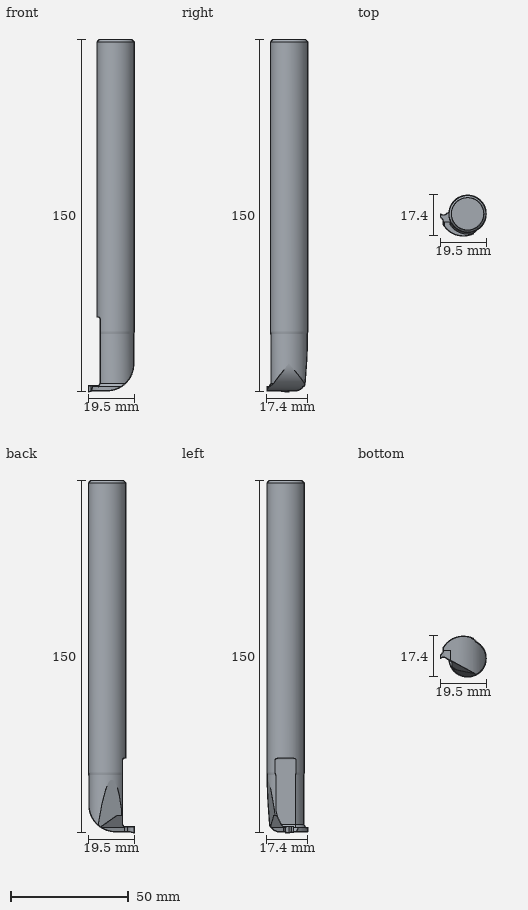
import cadquery as cq
import math

TOP_Z = 150.0

SHANK_RADIUS = 8.0
SHANK_CHAMFER = 1.0
HEAD_RADIUS = 7.8
SHOULDER_TOP_Z = 25.5
SHOULDER_HEIGHT = 0.9
FLAT_X = -6.6
FLAT_TOP_Z = 31.8
FLAT_CORNER_RADIUS = 0.8

FLANGE_CENTRE = (-1.8, 0.5)
FLANGE_RADIUS = 9.9
FLANGE_BOTTOM_Z = 0.5
FLANGE_TOP_Z = 2.2
FLANGE_SIDE_X = -10.4
FLANGE_SIDE_LEAN = 0.6
NECK_TOP_Z = 3.6
NECK_FLARE = 0.82

HEEL_RADIUS = 11.5

RELIEF_ANGLE = 16.0
RELIEF_TOP_Z = 22.5
RELIEF_LOW_DISTANCE = 5.1
RAMP_ANGLE = 60.0
RAMP_TOP_Z = 9.9
RAMP_LOW_DISTANCE = 6.9
RAMP_TOP_DISTANCE = 7.8
UNDERCUT_ANGLE = 28.4
UNDERCUT_TOP_Z = 7.5
UNDERCUT_TOP_DISTANCE = 6.5
UNDERCUT_DISTANCE = 4.2

TIP_X = -11.5
TIP_LAND = 1.4
FLANK_POINT = (-10.5, -2.5)
INSERT_BACK_X = -10.4
INSERT_BACK_Y = -3.5
INSERT_INNER_X = -7.4
INSERT_INNER_Y = 0.9
CHIP_GROOVE_MIDDLE = (-10.0, -0.5)
CHIP_GROOVE_END = (-8.7, 0.3)
INSERT_TOP_Z = 2.7
TIP_RELIEF_LENGTH = 1.8

CUT_SIZE = 45.0


def make_shank():
    shank = cq.Workplane("XY").workplane(offset=SHOULDER_TOP_Z)
    shank = shank.circle(SHANK_RADIUS).extrude(TOP_Z - SHOULDER_TOP_Z)
    return shank.faces(">Z").chamfer(SHANK_CHAMFER)


def make_shoulder():
    """Short cone between the shank and the slightly thinner head."""
    return (
        cq.Workplane("XY").workplane(offset=SHOULDER_TOP_Z - SHOULDER_HEIGHT)
        .circle(HEAD_RADIUS)
        .workplane(offset=SHOULDER_HEIGHT)
        .circle(SHANK_RADIUS)
        .loft(combine=True)
    )


def make_head():
    height = SHOULDER_TOP_Z - SHOULDER_HEIGHT - NECK_TOP_Z
    return cq.Workplane("XY").workplane(offset=NECK_TOP_Z).circle(HEAD_RADIUS).extrude(height)


def make_flat_cut():
    """Block that cuts the long flat on the -X side, with a rounded upper corner."""
    width = CUT_SIZE
    block = cq.Workplane("XY").box(width, width, FLAT_TOP_Z, centered=(False, True, False))
    block = block.translate((FLAT_X - width, 0, 0))
    return block.edges(">X and >Z").fillet(FLAT_CORNER_RADIUS)


def make_neck():
    """Flare that follows the outline of the flattened head down to the flange."""
    height = NECK_TOP_Z - FLANGE_TOP_Z
    flare_angle = math.degrees(math.atan2(NECK_FLARE, height))
    half_chord = math.sqrt(HEAD_RADIUS**2 - FLAT_X**2)
    return (
        cq.Workplane("XY").workplane(offset=NECK_TOP_Z)
        .moveTo(FLAT_X, -half_chord)
        .threePointArc((HEAD_RADIUS, 0), (FLAT_X, half_chord))
        .close()
        .extrude(-height, taper=-flare_angle)
    )


def make_flange():
    height = FLANGE_TOP_Z - FLANGE_BOTTOM_Z
    disc = cq.Workplane("XY").workplane(offset=FLANGE_BOTTOM_Z)
    disc = disc.center(*FLANGE_CENTRE).circle(FLANGE_RADIUS).extrude(height)
    side = (
        cq.Workplane("XZ")
        .moveTo(FLANGE_SIDE_X, FLANGE_BOTTOM_Z)
        .lineTo(FLANGE_SIDE_X + FLANGE_SIDE_LEAN, FLANGE_TOP_Z)
        .lineTo(-CUT_SIZE, FLANGE_TOP_Z)
        .lineTo(-CUT_SIZE, FLANGE_BOTTOM_Z)
        .close()
        .extrude(CUT_SIZE, both=True)
    )
    return disc.cut(side)


def make_heel_cut():
    """Everything outside a quarter round that ends in the flange bottom and the +X side."""
    centre_x = HEAD_RADIUS - HEEL_RADIUS
    centre_z = FLANGE_BOTTOM_Z + HEEL_RADIUS
    diagonal = HEEL_RADIUS * math.sqrt(0.5)
    return (
        cq.Workplane("XZ")
        .moveTo(centre_x, FLANGE_BOTTOM_Z)
        .threePointArc((centre_x + diagonal, centre_z - diagonal), (HEAD_RADIUS, centre_z))
        .lineTo(CUT_SIZE, centre_z)
        .lineTo(CUT_SIZE, FLANGE_BOTTOM_Z)
        .close()
        .extrude(CUT_SIZE, both=True)
    )


def make_gullet_face_cut(angle, profile):
    """Cut beyond a profile of (distance from the axis, height), listed from the top down."""
    top_z = profile[0][1]
    bottom_z = profile[-1][1]
    return (
        cq.Workplane("YZ")
        .polyline([*profile, (CUT_SIZE, bottom_z), (CUT_SIZE, top_z)])
        .close()
        .extrude(CUT_SIZE, both=True)
        .rotate((0, 0, 0), (0, 0, 1), angle)
    )


def cut_gullet(bar):
    relief = [(HEAD_RADIUS, RELIEF_TOP_Z), (RELIEF_LOW_DISTANCE, 0)]
    ramp = [(RAMP_TOP_DISTANCE, RAMP_TOP_Z), (RAMP_LOW_DISTANCE, FLANGE_TOP_Z)]
    undercut = [
        (UNDERCUT_TOP_DISTANCE, UNDERCUT_TOP_Z),
        (UNDERCUT_DISTANCE, FLANGE_TOP_Z),
        (UNDERCUT_DISTANCE, 0),
    ]
    bar = bar.cut(make_gullet_face_cut(RELIEF_ANGLE, relief))
    bar = bar.cut(make_gullet_face_cut(RAMP_ANGLE, ramp))
    return bar.cut(make_gullet_face_cut(UNDERCUT_ANGLE, undercut))


def make_insert_pocket():
    """Pocket that seats the insert and leaves the chip space in front of its rake face open."""
    pocket = cq.Workplane("XY").box(CUT_SIZE, CUT_SIZE, INSERT_TOP_Z, centered=False)
    return pocket.translate((INSERT_INNER_X - CUT_SIZE, INSERT_BACK_Y, 0))


def make_insert():
    """Cutting insert with its rake face toward +Y and a relieved underside."""
    outline = (
        cq.Workplane("XY")
        .moveTo(TIP_X, 0)
        .lineTo(TIP_X, -TIP_LAND)
        .lineTo(*FLANK_POINT)
        .lineTo(INSERT_BACK_X, INSERT_BACK_Y)
        .lineTo(INSERT_INNER_X, INSERT_BACK_Y)
        .lineTo(INSERT_INNER_X, INSERT_INNER_Y)
        .lineTo(*CHIP_GROOVE_END)
        .threePointArc(CHIP_GROOVE_MIDDLE, (TIP_X, 0))
        .close()
        .extrude(INSERT_TOP_Z)
    )
    relief = (
        cq.Workplane("XZ")
        .moveTo(TIP_X, 0)
        .lineTo(TIP_X + TIP_RELIEF_LENGTH, FLANGE_BOTTOM_Z)
        .lineTo(INSERT_INNER_X, FLANGE_BOTTOM_Z)
        .lineTo(INSERT_INNER_X, 0)
        .close()
        .extrude(CUT_SIZE, both=True)
    )
    return outline.cut(relief)


def make_bar():
    bar = make_shank().union(make_shoulder()).union(make_head()).cut(make_flat_cut())
    bar = bar.union(make_neck()).union(make_flange()).cut(make_heel_cut())
    return cut_gullet(bar).cut(make_insert_pocket())


bar = make_bar()
cutting_insert = make_insert()

result = cq.Compound.makeCompound([bar.solids().val(), cutting_insert.solids().val()])